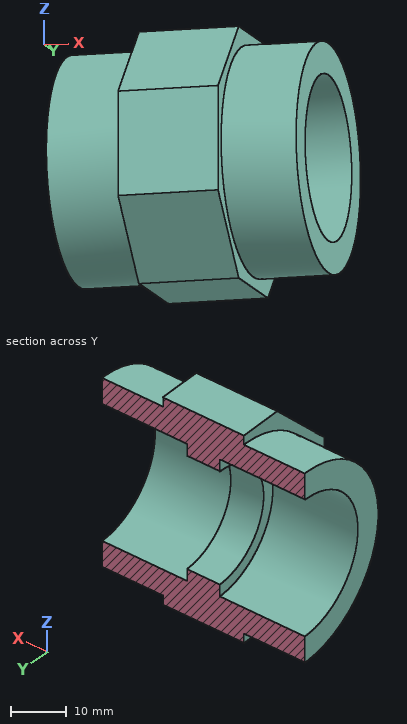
import cadquery as cq
import math

length = 46.5
collar_diameter = 42.0
across_flats = 46.0
octagon_width = 18.6
bore_diameter = 25.0
socket_diameter = 30.25
socket_depth = 19.5

octagon_sides = 8
across_corners = across_flats / math.cos(math.pi / octagon_sides)
half_side_angle = 180.0 / octagon_sides


def cylinder_along_x(diameter, start, depth):
    """Cylinder on the X axis that begins at the given X position."""
    return cq.Workplane("YZ", origin=(start, 0, 0)).circle(diameter / 2).extrude(depth)


octagon = (
    cq.Workplane("YZ")
    .polygon(octagon_sides, across_corners)
    .extrude(octagon_width / 2, both=True)
    .rotate((0, 0, 0), (1, 0, 0), half_side_angle)
)
body = cylinder_along_x(collar_diameter, -length / 2, length).union(octagon)

body = body.cut(cylinder_along_x(bore_diameter, -length / 2, length))
for socket_start in (-length / 2, length / 2 - socket_depth):
    body = body.cut(cylinder_along_x(socket_diameter, socket_start, socket_depth))

result = body